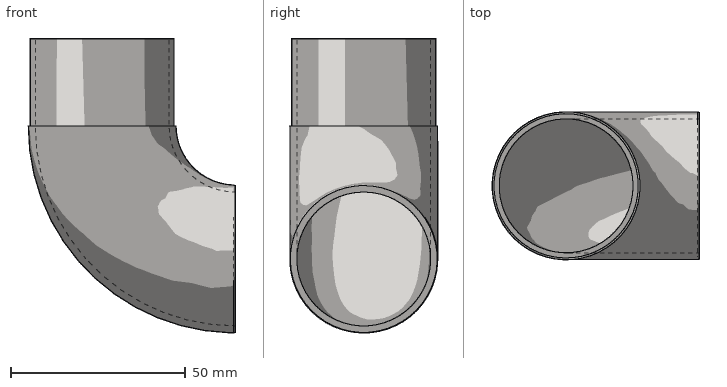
import cadquery as cq

elbow_diameter = 42.4
spigot_diameter = 41.3
bore_diameter = 38.4
total_height = 84.35
spigot_length = 25.0
rim_length = 0.5
rim_depth = 0.2

bend_top = total_height - spigot_length
bend_radius = bend_top - elbow_diameter / 2


def straight_up(diameter):
    """Vertical cylinder rising from the top of the bend."""
    return cq.Workplane("XY", origin=(0, 0, bend_top)).circle(diameter / 2).extrude(spigot_length)


def bend(diameter):
    """Quarter torus from the vertical spigot round to the +X outlet."""
    return (
        cq.Workplane("XY", origin=(0, 0, bend_top))
        .circle(diameter / 2)
        .revolve(90, (bend_radius, 0, 0), (bend_radius, -1, 0))
    )


elbow = bend(elbow_diameter).faces(">X").edges().chamfer(rim_length, rim_depth)
outside = elbow.union(straight_up(spigot_diameter))
bore = bend(bore_diameter).union(straight_up(bore_diameter))
result = outside.cut(bore)